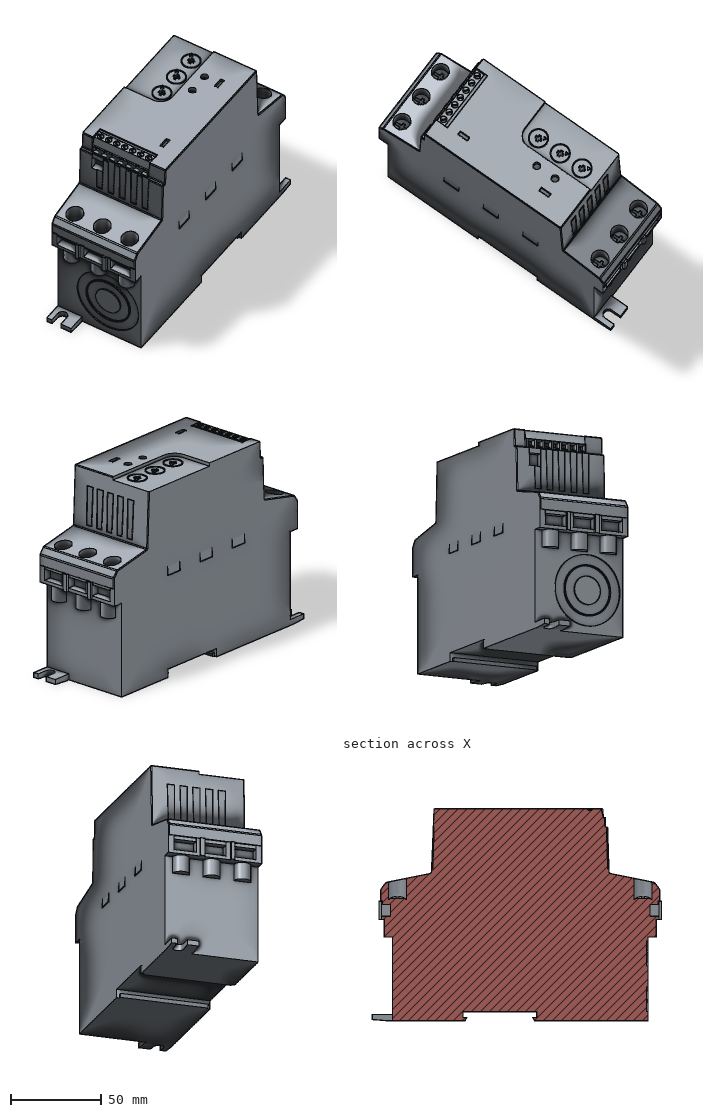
import cadquery as cq
ENDS = (-1, 1)

width = 55.0
half_width = width / 2
overall_length = 164.5
height = 117.8
base_half_length = 70.9
block_half_length = 77.0
shell_half_length = 77.5
block_bottom = 56.1
shell_bottom = 66.5
edge_chamfer = 0.5

nose_top = 72.9
shoulder_y, shoulder_z = 74.5, 76.8
wall_foot_y, wall_foot_z = 49.4, 82.0
rear_top_y = 47.9
front_top_y = -45.9
ledge_z = 107.6
ledge_inner_y, ledge_outer_y = -46.4, -48.5

pole_pitch = 18.1
pole_positions = [-pole_pitch, 0, pole_pitch]
screw_radius = 5.0
screw_y = 68.1
screw_seat_z = 67.5
screw_dome_height = 1.6
screw_slot_width = 1.5
screw_slot_cross_length = 4.6
screw_slot_floor_z = screw_seat_z + 0.5
sleeve_y = 70.5
sleeve_bottom = 46.4
window_width = 13.0
window_pitch = 17.6
window_bottom, window_lip = 58.0, 64.5
window_depth, window_lip_depth = 5.0, 0.5
rib_length = 1.5
rib_spans = [(-11.0, -9.0), (6.4, 9.0)]

vent_pitch = 7.48
vent_count = 5
vent_middle_x = 0.8
vent_top_width, vent_bottom_width = 4.3, 3.6
vent_bottom = 84.4
vent_depth = 0.7
latch_left, latch_right = -19.4, -12.2
latch_bottom, latch_top = 97.2, 104.5
latch_depth = 4.0

plug_left, plug_right = -20.4, 16.8
plug_bay_left, plug_bay_back = -20.9, -37.8
plug_back = -39.6
plug_gap_depth = 0.8
plug_top = 117.6
plug_slope_top_y, plug_slope_bottom_y = -44.9, -46.2
plug_socket_top, plug_socket_y = 112.7, -47.2
contact_pitch = 5.3
contact_count = 7
contact_middle_x = -1.8
contact_screw_y = -42.5
contact_screw_radius = 1.8
contact_screw_depth = 0.7
contact_slot_width, contact_slot_depth = 0.7, 0.5
contact_slot_angle = -45
contact_z = 110.4
socket_size, socket_inner_size = 4.1, 2.1
socket_funnel_depth, socket_depth = 1.3, 3.3

panel_right, panel_front = -0.8, -3.0
panel_corner_radius = 7.5
panel_z = 115.8
dial_x = -8.5
dial_pitch = 15.0
dial_middle_y = 21.2
dial_radius = 5.6
dial_groove_width, dial_groove_depth = 0.5, 0.3
dial_cross_length, dial_cross_width, dial_cross_depth = 4.0, 1.5, 2.0
pointer_distance, pointer_radius, pointer_height = 3.6, 1.2, 1.2
pointer_angle = 120
lamp_x, lamp_ys = 5.6, (28.0, 15.5)
lamp_radius, lamp_depth = 2.1, 3.3
label_x, label_ys = 15.3, (28.1, -27.6)
label_width, label_length, label_depth = 2.3, 6.4, 1.6

rail_front, rail_rear, rail_top = -9.0, 31.7, 5.0
hook_reach, hook_height, hook_bevel = 2.1, 2.0, 1.0
hook_inset = 1.6
foot_inner_x = 11.5
foot_thickness = 3.6
foot_taper_start, foot_tip_bottom = 74.0, 0.7
foot_slot_x, foot_slot_width, foot_slot_y = 21.2, 6.0, 76.0
plate_x, plate_z = 5.5, 24.7
plate_radius, plate_ring_outer, plate_ring_inner, plate_hub = 20.2, 14.5, 13.8, 8.0
plate_depth = 0.8
nub_pitch, nub_width, nub_bottom, nub_reach = 27.1, 10.2, 61.2, 0.5


def box(x0, x1, y0, y1, z0, z1):
    """Axis-aligned block between two opposite corners."""
    return cq.Workplane().box(x1 - x0, y1 - y0, z1 - z0, centered=False).translate((x0, y0, z0))


def side_profile(points, x0, x1):
    """Extrude a (y, z) outline along X."""
    return cq.Workplane("YZ").polyline(points).close().extrude(x1 - x0).translate((x0, 0, 0))


def end_box(end, x0, x1, inner, outer, z0, z1):
    """Block between two distances from the middle, at the -Y or +Y end."""
    near, far = sorted((end * inner, end * outer))
    return box(x0, x1, near, far, z0, z1)


def disc(x, y, radius, z0, z1):
    """Upright cylinder."""
    return cq.Workplane(origin=(x, y, z0)).circle(radius).extrude(z1 - z0)


def upper_shell():
    outline = [
        (-shell_half_length, shell_bottom),
        (-shell_half_length, nose_top),
        (-shoulder_y, shoulder_z),
        (-wall_foot_y, wall_foot_z),
        (ledge_outer_y, ledge_z),
        (ledge_inner_y, ledge_z),
        (front_top_y, height),
        (rear_top_y, height),
        (wall_foot_y, wall_foot_z),
        (shoulder_y, shoulder_z),
        (shell_half_length, nose_top),
        (shell_half_length, shell_bottom),
    ]
    shell = side_profile(outline, -half_width, half_width)
    shell = shell.edges("|X and (not <Z)").chamfer(edge_chamfer)
    right_edges = shell.faces(">X").edges("not <Z")
    shell = right_edges.chamfer(edge_chamfer)
    left_edges = shell.faces("<X").edges("not(<Z or >Z)")
    return left_edges.chamfer(edge_chamfer)


def lower_housing():
    base = box(-half_width, half_width, -base_half_length, base_half_length, 0, shell_bottom)
    block = box(-half_width, half_width, -block_half_length, block_half_length, block_bottom, shell_bottom)
    return base.union(block)


def cut_label_panel(body):
    """Sunken panel at the rear left of the top, with one rounded corner."""
    panel = box(-half_width, panel_right, panel_front, wall_foot_y, panel_z, height)
    panel = panel.edges("|Z and >X and <Y").fillet(panel_corner_radius)
    return body.cut(panel)


def add_dials(body):
    """Adjusting dials: a ring groove, a cross recess and a raised triangular pointer."""
    for step in (-1, 0, 1):
        y = dial_middle_y + step * dial_pitch
        groove_floor = panel_z - dial_groove_depth
        groove = disc(dial_x, y, dial_radius, groove_floor, panel_z)
        groove = groove.cut(disc(dial_x, y, dial_radius - dial_groove_width, groove_floor, panel_z))
        bar = cq.Workplane().box(dial_cross_length, dial_cross_width, 2 * dial_cross_depth)
        cross = bar.union(bar.rotate((0, 0, 0), (0, 0, 1), 90)).translate((dial_x, y, panel_z))
        pointer = (
            cq.Workplane()
            .polygon(3, 2 * pointer_radius)
            .extrude(pointer_height)
            .translate((pointer_distance, 0, 0))
            .rotate((0, 0, 0), (0, 0, 1), pointer_angle)
            .translate((dial_x, y, panel_z))
        )
        body = body.cut(groove).cut(cross).union(pointer)
    return body


def cut_lamps_and_labels(body):
    for y in lamp_ys:
        body = body.cut(disc(lamp_x, y, lamp_radius, height - lamp_depth, height))
    for y in label_ys:
        slot = cq.Workplane().box(label_width, label_length, 2 * label_depth)
        body = body.cut(slot.translate((label_x, y, height)))
    return body


def add_plug(body):
    """Connector block set into a bay at the top front edge."""
    bay_floor = height - plug_gap_depth
    bay = box(plug_bay_left, plug_right, ledge_outer_y, plug_bay_back, bay_floor, height)
    front_bay = box(plug_bay_left, plug_right, ledge_outer_y, plug_slope_top_y, ledge_z, height)
    outline = [
        (plug_back, ledge_z),
        (plug_back, plug_top),
        (plug_slope_top_y, plug_top),
        (plug_slope_bottom_y, plug_socket_top),
        (plug_socket_y, plug_socket_top),
        (plug_socket_y, ledge_z),
    ]
    return body.cut(bay).cut(front_bay).union(side_profile(outline, plug_left, plug_right))


def cut_plug_contacts(body):
    """Slotted clamping screws on top of the connector and funnel-shaped wire sockets in front."""
    for number in range(contact_count):
        x = contact_middle_x + (number - (contact_count - 1) / 2) * contact_pitch
        screw_floor = plug_top - contact_screw_depth
        recess = disc(x, contact_screw_y, contact_screw_radius, screw_floor, plug_top)
        slot = (
            cq.Workplane()
            .box(2 * contact_screw_radius, contact_slot_width, 2 * contact_slot_depth)
            .rotate((0, 0, 0), (0, 0, 1), contact_slot_angle)
            .translate((x, contact_screw_y, screw_floor))
        )
        face = cq.Workplane("XZ", origin=(x, plug_socket_y, contact_z))
        funnel = (
            face.rect(socket_size, socket_size)
            .workplane(offset=-socket_funnel_depth)
            .rect(socket_inner_size, socket_inner_size)
            .loft(ruled=True)
        )
        socket = face.rect(socket_inner_size, socket_inner_size).extrude(-socket_depth)
        body = body.cut(recess).cut(slot).cut(funnel).cut(socket)
    return body


def end_wall_band(end):
    """Layer of vent depth under the sloping surface of one end wall."""
    outline = [
        (-end * ledge_outer_y, ledge_z),
        (end * wall_foot_y, wall_foot_z),
        (end * (wall_foot_y - vent_depth), wall_foot_z),
        (end * (-ledge_outer_y - vent_depth), ledge_z),
    ]
    return side_profile(outline, -half_width, half_width)


def cut_vents(body, end):
    """Row of shallow vent slits in one end wall, narrowing downwards."""
    band = end_wall_band(end)
    for number in range(vent_count):
        x = vent_middle_x + (number - (vent_count - 1) / 2) * vent_pitch
        slit = (
            cq.Workplane("XZ")
            .polyline([
                (x - vent_top_width / 2, ledge_z),
                (x + vent_top_width / 2, ledge_z),
                (x + vent_bottom_width / 2, vent_bottom),
                (x - vent_bottom_width / 2, vent_bottom),
            ])
            .close()
            .extrude(-end * wall_foot_y)
        )
        body = body.cut(slit.intersect(band))
    return body


def cut_latch_pocket(body):
    """Pocket at the top of the first front vent, with a shallow recess above it."""
    recess = end_box(-1, latch_left, latch_right, 0, wall_foot_y, latch_bottom, ledge_z)
    recess = recess.intersect(end_wall_band(-1))
    pocket_floor = -ledge_outer_y - latch_depth
    pocket = end_box(-1, latch_left, latch_right, pocket_floor, wall_foot_y, latch_bottom, latch_top)
    return body.cut(recess).cut(pocket)


def terminal_screw(x, y):
    """Domed screw head with a cross slot, one arm running right across."""
    sphere_radius = (screw_radius**2 + screw_dome_height**2) / (2 * screw_dome_height)
    sphere_z = screw_seat_z + screw_dome_height - sphere_radius
    head_top = screw_seat_z + screw_dome_height
    dome = disc(x, y, screw_radius, screw_seat_z, head_top)
    dome = dome.intersect(cq.Workplane(origin=(x, y, sphere_z)).sphere(sphere_radius))
    arm_x, arm_y = screw_slot_cross_length / 2, screw_slot_width / 2
    long_arm = box(x - arm_y, x + arm_y, y - screw_radius, y + screw_radius, screw_slot_floor_z, head_top)
    short_arm = box(x - arm_x, x + arm_x, y - arm_y, y + arm_y, screw_slot_floor_z, head_top)
    return dome.cut(long_arm).cut(short_arm)


def add_terminals(body, end):
    """Screw wells, clamp sleeves, wire windows and dividing ribs of one end."""
    for x in pole_positions:
        body = body.cut(disc(x, end * screw_y, screw_radius, screw_seat_z, wall_foot_z))
        body = body.union(terminal_screw(x, end * screw_y))
        body = body.union(disc(x, end * sleeve_y, screw_radius, sleeve_bottom, block_bottom))
    for step in (-1, 0, 1):
        left = step * window_pitch - window_width / 2
        right = left + window_width
        floor = block_half_length - window_depth
        lip = block_half_length - window_lip_depth
        body = body.cut(end_box(end, left, right, floor, block_half_length, window_bottom, window_lip))
        body = body.cut(end_box(end, left, right, lip, block_half_length, window_lip, shell_bottom))
    for left, right in rib_spans:
        rib_end = block_half_length + rib_length
        body = body.union(end_box(end, left, right, block_half_length, rib_end, block_bottom, shell_bottom))
    return body


def add_side_nubs(body):
    """Wedge-shaped snap nubs on both long sides, widest at the bottom."""
    wedge = [(half_width, nub_bottom), (half_width + nub_reach, nub_bottom), (half_width, shell_bottom)]
    for step in (-1, 0, 1):
        y = step * nub_pitch + nub_width / 2
        nub = cq.Workplane("XZ", origin=(0, y, 0)).polyline(wedge).close().extrude(nub_width)
        body = body.union(nub).union(nub.mirror("YZ"))
    return body


def cut_rail_channel(body):
    """Channel across the base for a mounting rail, with a hook on each wall."""
    body = body.cut(box(-half_width, half_width, rail_front, rail_rear, 0, rail_top))
    hook_half = half_width - hook_inset
    for wall, inward in ((rail_front, 1), (rail_rear, -1)):
        outline = [
            (wall, 0),
            (wall, hook_height),
            (wall + inward * hook_reach, hook_height),
            (wall + inward * (hook_reach - hook_bevel), 0),
        ]
        body = body.union(side_profile(outline, -hook_half, hook_half))
    return body


def mounting_foot():
    """Slotted foot at the -Y end, on the -X side."""
    tip = -overall_length / 2
    outline = [
        (-base_half_length, 0),
        (-base_half_length, foot_thickness),
        (tip, foot_thickness),
        (tip, foot_tip_bottom),
        (-foot_taper_start, 0),
    ]
    foot = side_profile(outline, -half_width, -foot_inner_x)
    slot_half = foot_slot_width / 2
    round_end = disc(-foot_slot_x, -foot_slot_y, slot_half, 0, foot_thickness)
    mouth = box(-foot_slot_x - slot_half, -foot_slot_x + slot_half, tip, -foot_slot_y, 0, foot_thickness)
    return foot.cut(round_end).cut(mouth)


def add_feet(body):
    foot = mounting_foot()
    opposite_foot = foot.rotate((0, 0, 0), (0, 0, 1), 180)
    return body.union(foot).union(opposite_foot)


def cut_round_plate(body):
    """Shallow round recess in the front, with a thin ring and a hub left standing."""
    face = cq.Workplane("XZ", origin=(plate_x, -base_half_length, plate_z))
    recess = face.circle(plate_radius).circle(plate_ring_outer).extrude(-plate_depth)
    inner_recess = face.circle(plate_ring_inner).circle(plate_hub).extrude(-plate_depth)
    return body.cut(recess).cut(inner_recess)


result = lower_housing().union(upper_shell())
result = cut_label_panel(result)
result = add_dials(result)
result = cut_lamps_and_labels(result)
for end_side in ENDS:
    result = cut_vents(result, end_side)
    result = add_terminals(result, end_side)
result = cut_latch_pocket(result)
result = add_plug(result)
result = cut_plug_contacts(result)
result = add_side_nubs(result)
result = cut_rail_channel(result)
result = add_feet(result)
result = cut_round_plate(result)